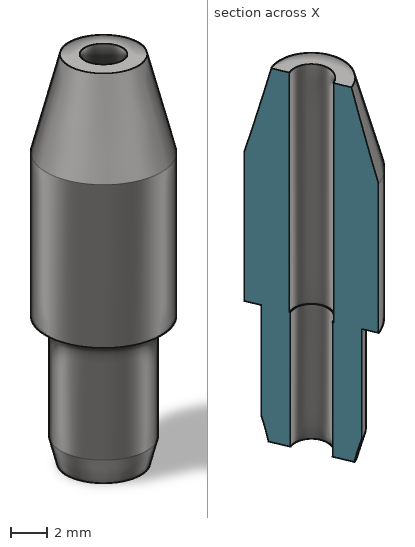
import cadquery as cq
import math

total_length = 25.0
shank_length = 9.0
tip_length = 1.65
nose_length = 6.0

body_diameter = 8.0
shank_diameter = 6.0
upper_bore_diameter = 2.6
lower_bore_diameter = 2.5

taper_angle = 15.0
taper_slope = math.tan(math.radians(taper_angle))

upper_bore_depth = total_length - shank_length

body_radius = body_diameter / 2
shank_radius = shank_diameter / 2
tip_radius = shank_radius - tip_length * taper_slope
nose_radius = body_radius - nose_length * taper_slope


def turned_body():
    """Revolve the stepped, double-tapered outline about Z."""
    half_outline = [
        (0, 0),
        (tip_radius, 0),
        (shank_radius, tip_length),
        (shank_radius, shank_length),
        (body_radius, shank_length),
        (body_radius, total_length - nose_length),
        (nose_radius, total_length),
        (0, total_length),
    ]
    return cq.Workplane("XZ").polyline(half_outline).close().revolve(360, (0, 0), (0, 1))


def stepped_bore():
    """Through bore with a slightly wider upper section."""
    through = cq.Workplane("XY").circle(lower_bore_diameter / 2).extrude(total_length)
    upper = (
        cq.Workplane("XY", origin=(0, 0, total_length))
        .circle(upper_bore_diameter / 2)
        .extrude(-upper_bore_depth)
    )
    return through.union(upper)


result = turned_body().cut(stepped_bore())